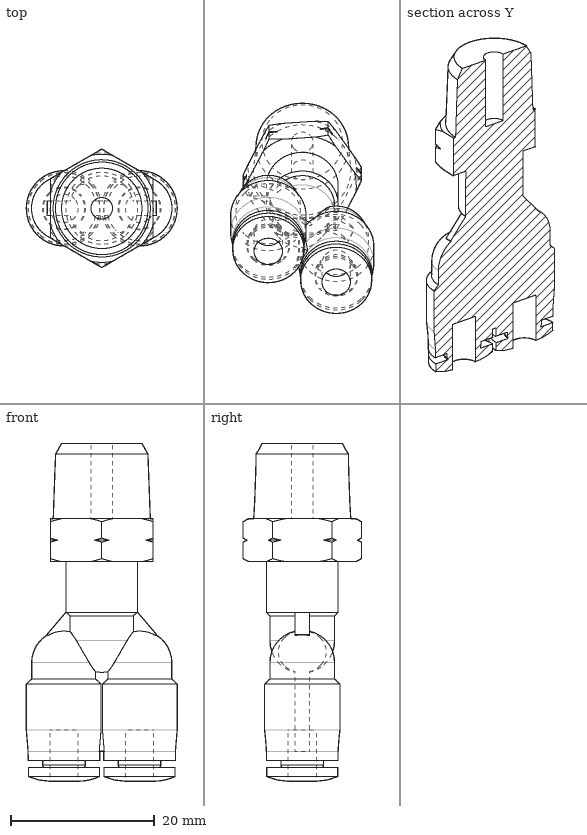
import cadquery as cq
import math

TOTAL_HEIGHT = 47.0
TOTAL_WIDTH = 21.0

STUD_TIP_RADIUS = 5.6
STUD_TOP_RADIUS = 6.45
STUD_BASE_RADIUS = 6.75
STUD_CHAMFER_HEIGHT = 1.5
STUD_BORE_DIAMETER = 3.0

HEX_TOP = 36.5
HEX_BOTTOM = 30.55
HEX_ACROSS_CORNERS = 16.5
HEX_CHAMFER_RADIUS = 7.5
HEX_CHAMFER_ANGLE = 30.0
HEX_GROOVE_DEPTH = 0.5
HEX_GROOVE_HALF_WIDTH = 0.3

STEM_RADIUS = 10.0 / 2
STEM_BOTTOM = 23.5
NECK_RADIUS = 4.5
NECK_SPHERE_Z = 19.55

LEG_OFFSET = TOTAL_WIDTH / 4
LEG_RADIUS = TOTAL_WIDTH / 4
DOME_RADIUS = NECK_RADIUS
DOME_CENTER_Z = 16.5
SHOULDER_TOP = 14.25
TAPER_TOP = 7.15
TAPER_BOTTOM = 4.2
LEG_BOTTOM = 2.85
LEG_END_RADIUS = STEM_RADIUS

RING_RADIUS = 9.9 / 2
RING_TOP = 1.95
RING_EDGE_Z = 0.65
RING_NECK_RADIUS = 5.95 / 2
RING_NECK_FOOT_RADIUS = 2.85
RING_NECK_FOOT_HEIGHT = 0.35
TUBE_RADIUS = 3.95 / 2
TUBE_BORE_TOP = TAPER_TOP

WEB_THICKNESS = 2.0
RIB_END_X = 7.6
RIB_END_Z = 20.45
STRIP_HALF_WIDTH = 2.35


def revolve_outline(outline):
    """Turn a closed (radius, z) outline around the Z axis."""
    return outline.close().revolve(360, (0, 0, 0), (0, 1, 0))


def make_stud():
    stud = revolve_outline(
        cq.Workplane("XZ")
        .moveTo(0, HEX_TOP)
        .lineTo(STUD_BASE_RADIUS, HEX_TOP)
        .lineTo(STUD_TOP_RADIUS, TOTAL_HEIGHT - STUD_CHAMFER_HEIGHT)
        .lineTo(STUD_TIP_RADIUS, TOTAL_HEIGHT)
        .lineTo(0, TOTAL_HEIGHT)
    )
    return stud.faces(">Z").workplane().hole(STUD_BORE_DIAMETER, TOTAL_HEIGHT - HEX_TOP)


def make_hexagon():
    """Hexagon with corners on Y, coned at both ends and grooved around its mid height."""
    corner_radius = HEX_ACROSS_CORNERS / 2
    hexagon = (
        cq.Workplane("XY", origin=(0, 0, HEX_BOTTOM))
        .polygon(6, HEX_ACROSS_CORNERS)
        .extrude(HEX_TOP - HEX_BOTTOM)
        .rotate((0, 0, 0), (0, 0, 1), 90)
    )
    chamfer_drop = (corner_radius - HEX_CHAMFER_RADIUS) * math.tan(math.radians(HEX_CHAMFER_ANGLE))
    middle_z = (HEX_TOP + HEX_BOTTOM) / 2
    envelope = revolve_outline(
        cq.Workplane("XZ")
        .moveTo(0, HEX_BOTTOM)
        .lineTo(HEX_CHAMFER_RADIUS, HEX_BOTTOM)
        .lineTo(corner_radius, HEX_BOTTOM + chamfer_drop)
        .lineTo(corner_radius, middle_z - HEX_GROOVE_HALF_WIDTH)
        .lineTo(corner_radius - HEX_GROOVE_DEPTH, middle_z)
        .lineTo(corner_radius, middle_z + HEX_GROOVE_HALF_WIDTH)
        .lineTo(corner_radius, HEX_TOP - chamfer_drop)
        .lineTo(HEX_CHAMFER_RADIUS, HEX_TOP)
        .lineTo(0, HEX_TOP)
    )
    return hexagon.intersect(envelope)


def make_stem():
    """Cylinder with a 45 degree step down to a neck that ends in a hemisphere."""
    diagonal = NECK_RADIUS * math.sqrt(0.5)
    return revolve_outline(
        cq.Workplane("XZ")
        .moveTo(0, HEX_BOTTOM)
        .lineTo(STEM_RADIUS, HEX_BOTTOM)
        .lineTo(STEM_RADIUS, STEM_BOTTOM)
        .lineTo(NECK_RADIUS, STEM_BOTTOM - (STEM_RADIUS - NECK_RADIUS))
        .lineTo(NECK_RADIUS, NECK_SPHERE_Z)
        .threePointArc((diagonal, NECK_SPHERE_Z - diagonal), (0, NECK_SPHERE_Z - NECK_RADIUS))
    )


def make_leg():
    """Domed leg with its release ring, crowned at the bottom, on the Z axis."""
    diagonal = DOME_RADIUS * math.sqrt(0.5)
    crown_run = RING_RADIUS - TUBE_RADIUS
    crown_radius = (crown_run**2 + RING_EDGE_Z**2) / (2 * RING_EDGE_Z)
    crown_mid_radius = (RING_RADIUS + TUBE_RADIUS) / 2
    crown_mid_z = crown_radius - math.sqrt(crown_radius**2 - (crown_mid_radius - TUBE_RADIUS) ** 2)
    return revolve_outline(
        cq.Workplane("XZ")
        .moveTo(0, DOME_CENTER_Z + DOME_RADIUS)
        .threePointArc((diagonal, DOME_CENTER_Z + diagonal), (DOME_RADIUS, DOME_CENTER_Z))
        .lineTo(DOME_RADIUS, SHOULDER_TOP)
        .lineTo(LEG_RADIUS, SHOULDER_TOP - (LEG_RADIUS - DOME_RADIUS))
        .lineTo(LEG_RADIUS, TAPER_TOP)
        .lineTo(LEG_END_RADIUS, TAPER_BOTTOM)
        .lineTo(LEG_END_RADIUS, LEG_BOTTOM)
        .lineTo(RING_NECK_RADIUS, LEG_BOTTOM)
        .lineTo(RING_NECK_RADIUS, RING_TOP + RING_NECK_FOOT_HEIGHT)
        .lineTo(RING_NECK_FOOT_RADIUS, RING_TOP)
        .lineTo(RING_RADIUS, RING_TOP)
        .lineTo(RING_RADIUS, RING_EDGE_Z)
        .threePointArc((crown_mid_radius, crown_mid_z), (TUBE_RADIUS, 0))
        .lineTo(TUBE_RADIUS, TUBE_BORE_TOP)
        .lineTo(0, TUBE_BORE_TOP)
    )


def make_web():
    """Plate on the XZ plane: sloped ribs at the top, a strip between the legs below."""
    return (
        cq.Workplane("XZ")
        .moveTo(STEM_RADIUS, STEM_BOTTOM)
        .lineTo(RIB_END_X, RIB_END_Z)
        .lineTo(LEG_OFFSET, DOME_CENTER_Z)
        .lineTo(STRIP_HALF_WIDTH, SHOULDER_TOP)
        .lineTo(STRIP_HALF_WIDTH, TAPER_BOTTOM)
        .lineTo(-STRIP_HALF_WIDTH, TAPER_BOTTOM)
        .lineTo(-STRIP_HALF_WIDTH, SHOULDER_TOP)
        .lineTo(-LEG_OFFSET, DOME_CENTER_Z)
        .lineTo(-RIB_END_X, RIB_END_Z)
        .lineTo(-STEM_RADIUS, STEM_BOTTOM)
        .close()
        .extrude(WEB_THICKNESS / 2, both=True)
    )


result = make_stud().union(make_hexagon()).union(make_stem()).union(make_web())
for side in (-1, 1):
    result = result.union(make_leg().translate((side * LEG_OFFSET, 0, 0)))